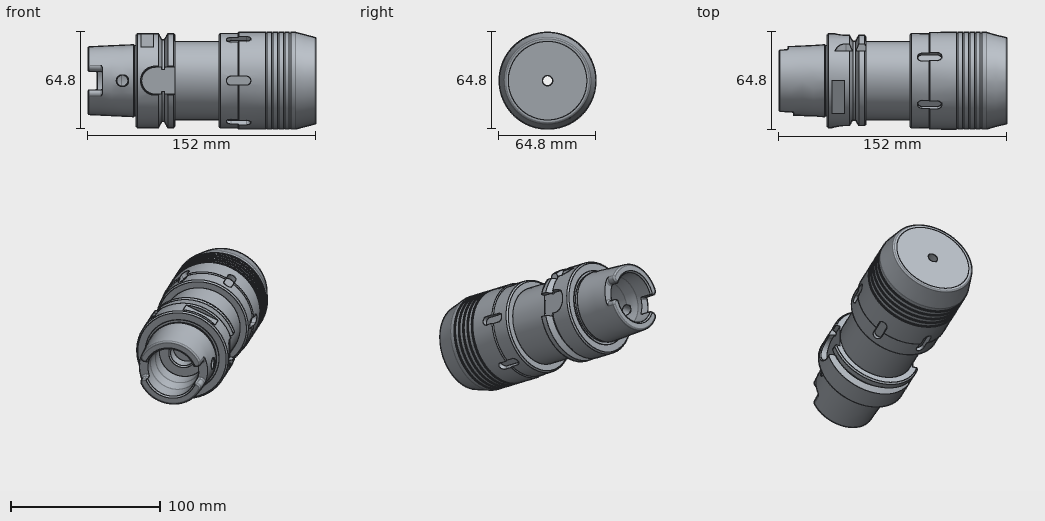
import cadquery as cq
import math


TAPER_END_X = 30.2
TAPER_MOUTH_R = 22.6
TAPER_END_R = 24.09
MOUTH_ROUND = 1.0
RELIEF_R = 23.5
FACE_RECESS_R = 25.4
FACE_RECESS_DEPTH = 0.5

FLANGE_X = 31.9
FLANGE_END_X = 57.9
FLANGE_R = 31.5
FLANGE_CHAMFER = 1.0
GROOVE_R = 27.44
GROOVE_LEFT_X = 46.8
GROOVE_RIGHT_X = 53.2
GROOVE_RUN = (FLANGE_R - GROOVE_R) * math.tan(math.radians(30))

NECK_R = 26.22
LENGTH = 152.0

BORE_R = 17.0
BORE_MOUTH_R = 18.1
BORE_DEEP_R = 15.88
BORE_STEP_X = 13.2
BORE_DEEP_X = 22.2
BORE_END_X = 33.5
THREAD_R = 8.5
THREAD_MOUTH_R = 9.5
THREAD_DEPTH = 9.1
COOLANT_R = 3.3

DRIVE_HALF_WIDTH = 6.1
DRIVE_LUG_ROUND = 2.9
DRIVE_FLOOR_ROUND = 1.0
DRIVE_FLOOR_EDGE_Y = 21.3
DRIVE_DEPTH_FRONT = 9.7
DRIVE_DEPTH_BACK = 6.1

ACCESS_X = 22.8
ACCESS_R = 3.72
ACCESS_MOUTH_R = 4.3

KEYWAY_X = 44.7
KEYWAY_FLOOR = 26.5
KEYWAY_FRONT_R = 9.0
KEYWAY_BACK_R = 8.0
KEYWAY_CHAMFER = 0.8

NOTCH_FLOOR = 19.9
NOTCH_WALL_Z = 19.6
NOTCH_END_R = 8.0

FLAT_X = 35.3
FLAT_LENGTH = 8.4
FLAT_ANGLE = 22.0
FLAT_HEIGHT = FLANGE_R * math.cos(math.radians(FLAT_ANGLE))

NUT_X = 87.2
NUT_R = 32.4
NUT_REAR_R = 31.6
NUT_REAR_CHAMFER = 1.0
NUT_STEP_X = 99.9
NUT_STEP_LENGTH = 0.8
NUT_CONE_X = 138.2
NUT_FRONT_R = 28.7
NUT_FRONT_ROUND = 1.0
GRIP_FIRST_X = 118.9
GRIP_PITCH = 4.0
GRIP_COUNT = 5
GRIP_WIDTH = 1.0
GRIP_DEPTH = 0.5
SPANNER_COUNT = 6
SPANNER_X = 100.4
SPANNER_LENGTH = 16.3
SPANNER_WIDTH = 6.1
SPANNER_FLOOR = 29.0

CLEAR = 7.6
MARGIN = 0.2


def revolved(points):
    """Solid of revolution about X from a closed (x, radius) outline."""
    outline = [(x, -radius) for x, radius in points]
    return cq.Workplane("XZ").polyline(outline).close().revolve(360, (0, 0, 0), (1, 0, 0))


def cylinder(x, length, radius):
    return cq.Workplane("YZ", origin=(x, 0, 0)).circle(radius).extrude(length)


def drive_slot(depth, side):
    """Square slot from the mouth into the taper wall on side +1 (+Y) or -1 (-Y)."""
    slot = cq.Workplane("XY").box(depth, FLANGE_R, 2 * DRIVE_HALF_WIDTH, centered=(False, True, True))
    return slot.translate((0, side * (FLANGE_R / 2 + BORE_DEEP_R / 2), 0))


def drive_slot_edges(start_x, end_x, side, inner_y, outer_y):
    """Selects edges along both walls of a drive slot, wholly between the given X and Y places."""
    near, far = sorted((side * inner_y, side * outer_y))
    walls = [
        cq.selectors.BoxSelector(
            (start_x - MARGIN, near, wall * (DRIVE_HALF_WIDTH - MARGIN)),
            (end_x + MARGIN, far, wall * TAPER_MOUTH_R),
            boundingbox=True,
        )
        for wall in (-1, 1)
    ]
    return walls[0] + walls[1]


def cut_drive_slot(taper, depth, side):
    """Cuts one drive slot, rounds the lugs beside it and the corners along its floor."""
    taper = taper.cut(drive_slot(depth, side))
    lug_edges = drive_slot_edges(0, depth, side, DRIVE_FLOOR_EDGE_Y, FLANGE_R)
    taper = taper.edges(lug_edges).fillet(DRIVE_LUG_ROUND)
    floor_edges = drive_slot_edges(depth, depth, side, 0, DRIVE_FLOOR_EDGE_Y)
    return taper.edges(floor_edges).fillet(DRIVE_FLOOR_ROUND)


def make_taper():
    taper = revolved([(0, 0), (0, TAPER_MOUTH_R), (TAPER_END_X, TAPER_END_R), (TAPER_END_X, 0)])
    taper = cut_drive_slot(taper, DRIVE_DEPTH_FRONT, -1)
    taper = cut_drive_slot(taper, DRIVE_DEPTH_BACK, 1)
    return taper.faces("<X").edges().fillet(MOUTH_ROUND)


def shank_blank():
    flange = revolved([
        (TAPER_END_X, 0),
        (TAPER_END_X, TAPER_END_R),
        (TAPER_END_X + TAPER_END_R - RELIEF_R, RELIEF_R),
        (FLANGE_X + FACE_RECESS_DEPTH, RELIEF_R),
        (FLANGE_X + FACE_RECESS_DEPTH, FACE_RECESS_R),
        (FLANGE_X, FACE_RECESS_R),
        (FLANGE_X, FLANGE_R - FLANGE_CHAMFER),
        (FLANGE_X + FLANGE_CHAMFER, FLANGE_R),
        (GROOVE_LEFT_X, FLANGE_R),
        (GROOVE_LEFT_X + GROOVE_RUN, GROOVE_R),
        (GROOVE_RIGHT_X - GROOVE_RUN, GROOVE_R),
        (GROOVE_RIGHT_X, FLANGE_R),
        (FLANGE_END_X - FLANGE_CHAMFER, FLANGE_R),
        (FLANGE_END_X, FLANGE_R - FLANGE_CHAMFER),
        (FLANGE_END_X, NECK_R),
        (LENGTH, NECK_R),
        (LENGTH, 0),
    ])
    return make_taper().union(flange)


def shank_bore():
    mouth_chamfer = BORE_MOUTH_R - BORE_R
    thread_chamfer = THREAD_MOUTH_R - THREAD_R
    return revolved([
        (0, 0),
        (0, BORE_MOUTH_R),
        (mouth_chamfer, BORE_R),
        (BORE_STEP_X, BORE_R),
        (BORE_DEEP_X, BORE_DEEP_R),
        (BORE_END_X, BORE_DEEP_R),
        (BORE_END_X, THREAD_MOUTH_R),
        (BORE_END_X + thread_chamfer, THREAD_R),
        (BORE_END_X + THREAD_DEPTH, THREAD_R),
        (BORE_END_X + THREAD_DEPTH, COOLANT_R),
        (LENGTH, COOLANT_R),
        (LENGTH, 0),
    ])


def access_hole():
    """Radial hole on -Y from the taper surface into the bore, with a chamfered mouth."""
    surface_y = TAPER_MOUTH_R + (TAPER_END_R - TAPER_MOUTH_R) * ACCESS_X / TAPER_END_X
    chamfer = ACCESS_MOUTH_R - ACCESS_R
    hole = cq.Workplane("XZ", origin=(ACCESS_X, 0, 0)).circle(ACCESS_R).extrude(FLANGE_R)
    mouth = cq.Workplane("XY").add(cq.Solid.makeCone(
        ACCESS_R, ACCESS_MOUTH_R, chamfer,
        cq.Vector(ACCESS_X, chamfer - surface_y, 0), cq.Vector(0, -1, 0),
    ))
    return hole.union(mouth)


def keyway(radius, side):
    """Round-ended slot on side +1 (+Y) or -1 (-Y), open towards the neck."""
    return (
        cq.Workplane("XZ", origin=(0, side * KEYWAY_FLOOR, 0))
        .moveTo(FLANGE_END_X, radius)
        .lineTo(KEYWAY_X, radius)
        .threePointArc((KEYWAY_X - radius, 0), (KEYWAY_X, -radius))
        .lineTo(FLANGE_END_X, -radius)
        .close()
        .extrude(-side * CLEAR)
    )


def front_keyway_mouth():
    """Selects the edges where the front keyway meets the outside of the flange."""
    mouth_y = math.sqrt(FLANGE_R**2 - KEYWAY_FRONT_R**2)
    return cq.selectors.BoxSelector(
        (KEYWAY_X - KEYWAY_FRONT_R - MARGIN, -FLANGE_R - MARGIN, -KEYWAY_FRONT_R - MARGIN),
        (FLANGE_END_X - MARGIN, MARGIN - mouth_y, KEYWAY_FRONT_R + MARGIN),
        boundingbox=True,
    )


def orientation_notch():
    """Corner cut with an upright floor, a level wall and a round end."""
    centre_z = NOTCH_WALL_Z + NOTCH_END_R
    diagonal = NOTCH_END_R / math.sqrt(2)
    return (
        cq.Workplane("XZ", origin=(0, NOTCH_FLOOR, 0))
        .moveTo(FLANGE_END_X, NOTCH_WALL_Z)
        .lineTo(KEYWAY_X, NOTCH_WALL_Z)
        .threePointArc((KEYWAY_X - diagonal, centre_z - diagonal), (KEYWAY_X - NOTCH_END_R, centre_z))
        .lineTo(FLANGE_END_X, centre_z)
        .close()
        .extrude(-FLANGE_R)
    )


def marking_flat():
    cutter = cq.Workplane("XY").box(FLAT_LENGTH, 2 * FLANGE_R, CLEAR, centered=(False, True, False))
    cutter = cutter.translate((FLAT_X, 0, FLAT_HEIGHT))
    return cutter.rotate((0, 0, 0), (1, 0, 0), FLAT_ANGLE)


def make_shank():
    shank = shank_blank()
    shank = shank.cut(keyway(KEYWAY_FRONT_R, -1))
    shank = shank.edges(front_keyway_mouth()).chamfer(KEYWAY_CHAMFER)
    shank = shank.cut(keyway(KEYWAY_BACK_R, 1))
    shank = shank.cut(orientation_notch())
    shank = shank.cut(marking_flat())
    shank = shank.cut(shank_bore())
    return shank.cut(access_hole())


def nut_blank():
    blank = revolved([
        (NUT_X, NECK_R),
        (NUT_X, NUT_REAR_R - NUT_REAR_CHAMFER),
        (NUT_X + NUT_REAR_CHAMFER, NUT_REAR_R),
        (NUT_STEP_X, NUT_REAR_R),
        (NUT_STEP_X + NUT_STEP_LENGTH, NUT_R),
        (NUT_CONE_X, NUT_R),
        (LENGTH, NUT_FRONT_R),
        (LENGTH, NECK_R),
    ])
    return blank.faces(">X").edges(cq.selectors.RadiusNthSelector(-1)).fillet(NUT_FRONT_ROUND)


def grip_groove(index):
    x = GRIP_FIRST_X + index * GRIP_PITCH - GRIP_WIDTH / 2
    ring = cylinder(x, GRIP_WIDTH, NUT_R + CLEAR)
    return ring.cut(cylinder(x, GRIP_WIDTH, NUT_R - GRIP_DEPTH))


def spanner_slot(index):
    """Flat-floored slot across the step of the nut; the first one faces -Y."""
    slot = (
        cq.Workplane("XZ", origin=(SPANNER_X, -SPANNER_FLOOR, 0))
        .slot2D(SPANNER_LENGTH, SPANNER_WIDTH)
        .extrude(CLEAR)
    )
    return slot.rotate((0, 0, 0), (1, 0, 0), index * 360 / SPANNER_COUNT)


def make_nut():
    nut = nut_blank()
    for index in range(GRIP_COUNT):
        nut = nut.cut(grip_groove(index))
    for index in range(SPANNER_COUNT):
        nut = nut.cut(spanner_slot(index))
    return nut


shank = make_shank()
nut = make_nut()

result = cq.Compound.makeCompound([shank.val(), nut.val()])